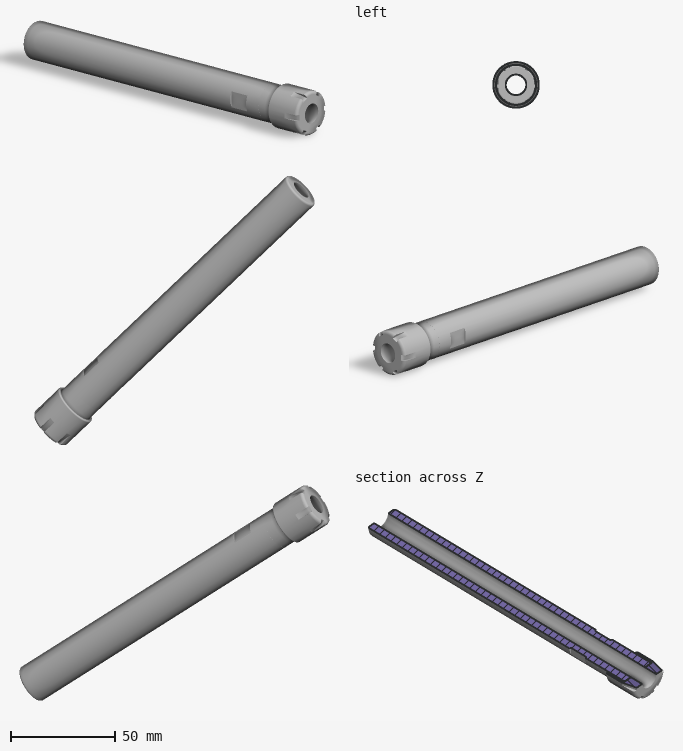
import cadquery as cq

TOTAL_LENGTH = 175.7

SHANK_DIAMETER = 19.05
SHANK_END_ROUNDING = 1.0
BORE_DIAMETER = 9.73

NOSE_DIAMETER = 19.0
NOSE_START = 150.3
NOSE_ENGAGEMENT = 11.0

FLAT_LENGTH = 10.0
FLAT_START = 132.3
FLAT_ACROSS = 17.3

NUT_DIAMETER = 22.0
NUT_LENGTH = 18.3
NUT_BORE_DIAMETER = 19.4
NUT_REAR_ROUNDING = 0.6
NUT_FRONT_ROUNDING = 1.5

SLOT_COUNT = 6
SLOT_WIDTH = 2.9
SLOT_LENGTH = 7.7
SLOT_START_DEPTH = 0.1
SLOT_END_DEPTH = 2.1

nut_start = TOTAL_LENGTH - NUT_LENGTH
nose_end = nut_start + NOSE_ENGAGEMENT


def revolve_about_x(points):
    """Turn a closed (x, radius) outline about the X axis."""
    return cq.Workplane("XY").polyline(points).close().revolve(360, (0, 0, 0), (1, 0, 0))


def make_flat_cutters():
    """Two blocks that trim the shank to its width across flats."""
    depth = SHANK_DIAMETER / 2
    cutter = (
        cq.Workplane("XY")
        .box(FLAT_LENGTH, depth, SHANK_DIAMETER, centered=(False, False, True))
        .translate((FLAT_START, FLAT_ACROSS / 2, 0))
    )
    return cutter.union(cutter.mirror("XZ"))


def make_shank():
    """Bored shank with a rounded rear end, a nose for the nut and two wrench flats."""
    bore_radius = BORE_DIAMETER / 2
    radius = SHANK_DIAMETER / 2
    nose_radius = NOSE_DIAMETER / 2
    body = revolve_about_x([
        (0, bore_radius),
        (0, radius),
        (NOSE_START, radius),
        (NOSE_START, nose_radius),
        (nose_end, nose_radius),
        (nose_end, bore_radius),
    ])
    outer_edge = cq.selectors.RadiusNthSelector(-1)
    body = body.faces("<X").edges(outer_edge).fillet(SHANK_END_ROUNDING)
    return body.cut(make_flat_cutters())


def make_slot_cutter():
    """Block with a sloping floor that cuts one slot on the +Y side."""
    radius = NUT_DIAMETER / 2
    slot_start = TOTAL_LENGTH - SLOT_LENGTH
    return (
        cq.Workplane("XY")
        .moveTo(slot_start, radius)
        .lineTo(TOTAL_LENGTH, radius)
        .lineTo(TOTAL_LENGTH, radius - SLOT_END_DEPTH)
        .lineTo(slot_start, radius - SLOT_START_DEPTH)
        .close()
        .extrude(SLOT_WIDTH / 2, both=True)
    )


def make_nut():
    """Clamping nut around the nose, closed in to the bore at its front."""
    bore_radius = BORE_DIAMETER / 2
    nut_bore_radius = NUT_BORE_DIAMETER / 2
    radius = NUT_DIAMETER / 2
    nut = revolve_about_x([
        (nut_start, nut_bore_radius),
        (nut_start, radius),
        (TOTAL_LENGTH, radius),
        (TOTAL_LENGTH, bore_radius),
        (nose_end, bore_radius),
        (nose_end, nut_bore_radius),
    ])
    outer_edge = cq.selectors.RadiusNthSelector(-1)
    nut = nut.faces("<X").edges(outer_edge).fillet(NUT_REAR_ROUNDING)
    nut = nut.faces(">X").edges(outer_edge).fillet(NUT_FRONT_ROUNDING)
    slot = make_slot_cutter()
    for index in range(SLOT_COUNT):
        angle = index * 360 / SLOT_COUNT
        nut = nut.cut(slot.rotate((0, 0, 0), (1, 0, 0), angle))
    return nut


shank = make_shank()
nut = make_nut()

result = cq.Compound.makeCompound([shank.val(), nut.val()])